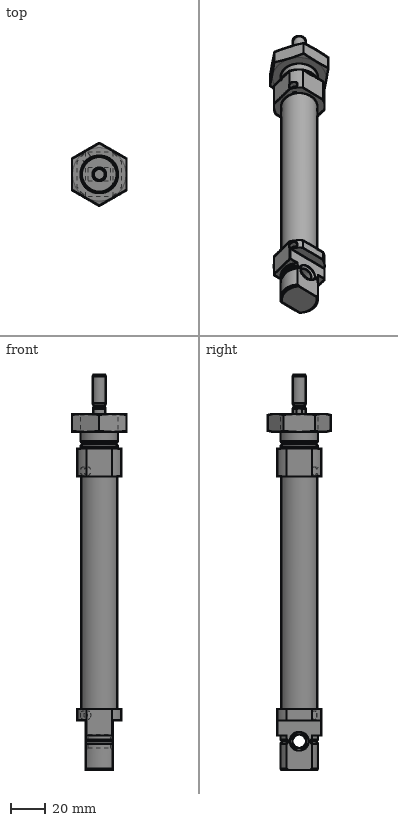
import cadquery as cq
import math


neck_top = 20.2
rear_flange_bottom = 29.2
rear_flange_top = 36.0
front_block_bottom = 172.4
front_block_top = 188.5
collar_top = 209.0
rod_top = 232.0

tube_diameter = 21.3
thread_diameter = 22.0
relief_diameter = 20.5
thread_chamfer = (thread_diameter - relief_diameter) / 2
block_across_flats = 26.0
block_corner_diameter = 30.0
tongue_width = 16.0
rear_relief_top = 18.0
rear_relief_bottom = 15.3
front_relief_top = 193.0
front_relief_bottom = 189.8
relief_upper_cone = 1.0
relief_lower_cone = 1.5
pivot_hole_diameter = 8.0
pivot_countersink_diameter = 11.0
pivot_hole_height = 17.0

screw_hole_diameter = 5.0
screw_hole_depth = 3.7
screw_hole_angle = 128.0
screw_hole_heights = (32.2, 175.5)

nut_across_flats = 32.0
nut_height = 10.7
nut_chamfer_diameter = 31.3
nut_chamfer_height = 0.7

rod_diameter = 8.0
rod_relief_diameter = 6.5
rod_tip_chamfer_height = 1.2
rod_relief_lower_cone = 1.0
rod_relief_upper_cone = 1.5
rod_shoulder = 211.8
rod_thread_bottom = 215.3
rod_across_flats = 7.2


def cylinder(diameter, bottom, top):
    return cq.Workplane("XY").workplane(offset=bottom).circle(diameter / 2).extrude(top - bottom)


def box(width, depth, bottom, top):
    return cq.Workplane("XY").workplane(offset=bottom).rect(width, depth).extrude(top - bottom)


def turned(profile):
    """Solid of revolution about Z from (diameter, height) points listed upwards."""
    radii = [(diameter / 2, height) for diameter, height in profile]
    outline = [(0, profile[0][1]), *radii, (0, profile[-1][1])]
    return cq.Workplane("XZ").polyline(outline).close().revolve(360, (0, 0), (0, 1))


def end_block(bottom, top):
    """Square block with its corners turned round."""
    square = box(block_across_flats, block_across_flats, bottom, top)
    return square.intersect(cylinder(block_corner_diameter, bottom, top))


def relief_groove(bottom, top):
    """Profile points of a thread relief groove with sloping sides."""
    return [
        (thread_diameter, bottom),
        (relief_diameter, bottom + relief_lower_cone),
        (relief_diameter, top - relief_upper_cone),
        (thread_diameter, top),
    ]


def rear_cap():
    neck = turned([
        (relief_diameter, 0),
        (thread_diameter, thread_chamfer),
        *relief_groove(rear_relief_bottom, rear_relief_top),
        (thread_diameter, neck_top),
    ])
    tongue = neck.union(end_block(neck_top, rear_flange_bottom))
    tongue = tongue.intersect(box(tongue_width, block_across_flats, 0, rear_flange_bottom))
    return tongue.union(end_block(rear_flange_bottom, rear_flange_top))


def front_cap():
    collar = turned([
        (thread_diameter, front_block_top),
        *relief_groove(front_relief_bottom, front_relief_top),
        (thread_diameter, collar_top - thread_chamfer),
        (relief_diameter, collar_top),
    ])
    return end_block(front_block_bottom, front_block_top).union(collar)


def pivot_hole():
    """Cross hole along X, countersunk at both faces of the tongue."""
    half_width = tongue_width / 2
    hole_radius = pivot_hole_diameter / 2
    countersink_radius = pivot_countersink_diameter / 2
    countersink_depth = countersink_radius - hole_radius
    outline = [
        (-half_width, 0),
        (-half_width, countersink_radius),
        (countersink_depth - half_width, hole_radius),
        (half_width - countersink_depth, hole_radius),
        (half_width, countersink_radius),
        (half_width, 0),
    ]
    cutter = cq.Workplane("XY").polyline(outline).close().revolve(360, (0, 0), (1, 0))
    return cutter.translate((0, 0, pivot_hole_height))


def screw_hole(height):
    """Blind radial hole measured inwards from the rounded corner."""
    floor = block_corner_diameter / 2 - screw_hole_depth
    cutter = cq.Workplane("YZ").workplane(offset=floor).circle(screw_hole_diameter / 2)
    cutter = cutter.extrude(block_corner_diameter / 2)
    return cutter.rotate((0, 0, 0), (0, 0, 1), screw_hole_angle).translate((0, 0, height))


def make_housing():
    tube = cylinder(tube_diameter, rear_flange_top, front_block_bottom)
    body = rear_cap().union(tube).union(front_cap())
    body = body.cut(pivot_hole())
    for height in screw_hole_heights:
        body = body.cut(screw_hole(height))
    return body


def make_nut():
    """Hexagon nut with two flats facing X and conical corner chamfers at both ends."""
    bottom = collar_top - nut_height
    across_corners = nut_across_flats / math.cos(math.radians(30))
    hexagon = cq.Workplane("XY").workplane(offset=bottom).polygon(6, across_corners).extrude(nut_height)
    hexagon = hexagon.rotate((0, 0, 0), (0, 0, 1), 90)
    envelope = turned([
        (nut_chamfer_diameter, bottom),
        (across_corners, bottom + nut_chamfer_height),
        (across_corners, collar_top - nut_chamfer_height),
        (nut_chamfer_diameter, collar_top),
    ])
    return hexagon.intersect(envelope).cut(cylinder(thread_diameter, bottom, collar_top))


def make_rod():
    """Rod end standing on the collar, with a relief groove and two flats facing X."""
    relief_bottom = rod_shoulder + rod_relief_lower_cone
    plain = turned([
        (rod_diameter, collar_top),
        (rod_diameter, rod_shoulder),
        (rod_relief_diameter, relief_bottom),
    ])
    plain = plain.intersect(box(rod_across_flats, rod_diameter, collar_top, relief_bottom))
    threaded = turned([
        (rod_relief_diameter, relief_bottom),
        (rod_relief_diameter, rod_thread_bottom - rod_relief_upper_cone),
        (rod_diameter, rod_thread_bottom),
        (rod_diameter, rod_top - rod_tip_chamfer_height),
        (rod_relief_diameter, rod_top),
    ])
    return plain.union(threaded)


housing = make_housing()
nut = make_nut()
rod = make_rod()
result = cq.Compound.makeCompound([housing.val(), nut.val(), rod.val()])